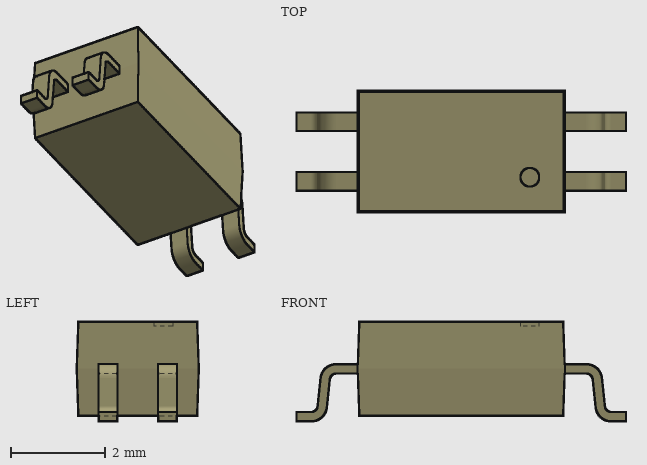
import cadquery as cq
import math


overall_length = 7.0
overall_height = 2.12

body_length = 4.4
body_width = 2.6
body_height = 2.0
body_inset = 0.035
parting_z = overall_height - body_height / 2

lead_width = 0.4
lead_thickness = 0.2
lead_pitch = 1.27
lead_top_z = 1.22
inner_radius = 0.13
outer_radius = inner_radius + lead_thickness
leg_tilt = math.radians(6)
foot_flat = 0.315
lead_embed = 0.14

dimple_diameter = 0.4
dimple_depth = 0.1
dimple_x = 1.455
dimple_y = -0.545


def half_body(direction):
    """Tapered half of the body, above (1) or below (-1) the parting plane."""
    return (
        cq.Workplane("XY", origin=(0, 0, parting_z))
        .rect(body_length, body_width)
        .workplane(offset=direction * body_height / 2)
        .rect(body_length - 2 * body_inset, body_width - 2 * body_inset)
        .loft(combine=True, ruled=True)
    )


def on_arc(center, radius, angle):
    return (center[0] + radius * math.cos(angle), center[1] + radius * math.sin(angle))


def lead(y):
    """S-bent lead on the -X side, centred at the given Y."""
    tip_x = -overall_length / 2
    root_x = -body_length / 2 + lead_embed
    foot_center = (tip_x + foot_flat, outer_radius)
    shoulder_z = lead_top_z - outer_radius

    bend_radii = inner_radius + outer_radius
    rise = shoulder_z - foot_center[1]
    leg_length = (rise + bend_radii * math.sin(leg_tilt)) / math.cos(leg_tilt)
    run = bend_radii * math.cos(leg_tilt) + leg_length * math.sin(leg_tilt)
    shoulder_center = (foot_center[0] + run, shoulder_z)

    foot_end = -leg_tilt
    foot_mid = (foot_end - math.pi / 2) / 2
    shoulder_start = math.pi - leg_tilt
    shoulder_mid = (shoulder_start + math.pi / 2) / 2

    return (
        cq.Workplane("XZ", origin=(0, y + lead_width / 2, 0))
        .moveTo(tip_x, 0)
        .lineTo(foot_center[0], 0)
        .threePointArc(
            on_arc(foot_center, outer_radius, foot_mid),
            on_arc(foot_center, outer_radius, foot_end),
        )
        .lineTo(*on_arc(shoulder_center, inner_radius, shoulder_start))
        .threePointArc(
            on_arc(shoulder_center, inner_radius, shoulder_mid),
            (shoulder_center[0], lead_top_z - lead_thickness),
        )
        .lineTo(root_x, lead_top_z - lead_thickness)
        .lineTo(root_x, lead_top_z)
        .lineTo(shoulder_center[0], lead_top_z)
        .threePointArc(
            on_arc(shoulder_center, outer_radius, shoulder_mid),
            on_arc(shoulder_center, outer_radius, shoulder_start),
        )
        .lineTo(*on_arc(foot_center, inner_radius, foot_end))
        .threePointArc(
            on_arc(foot_center, inner_radius, foot_mid),
            (foot_center[0], lead_thickness),
        )
        .lineTo(tip_x, lead_thickness)
        .close()
        .extrude(lead_width)
    )


dimple = (
    cq.Workplane("XY", origin=(dimple_x, dimple_y, overall_height - dimple_depth))
    .circle(dimple_diameter / 2)
    .extrude(dimple_depth)
)

result = half_body(1).union(half_body(-1)).cut(dimple)
for lead_y in (-lead_pitch / 2, lead_pitch / 2):
    left_lead = lead(lead_y)
    result = result.union(left_lead).union(left_lead.mirror("YZ"))